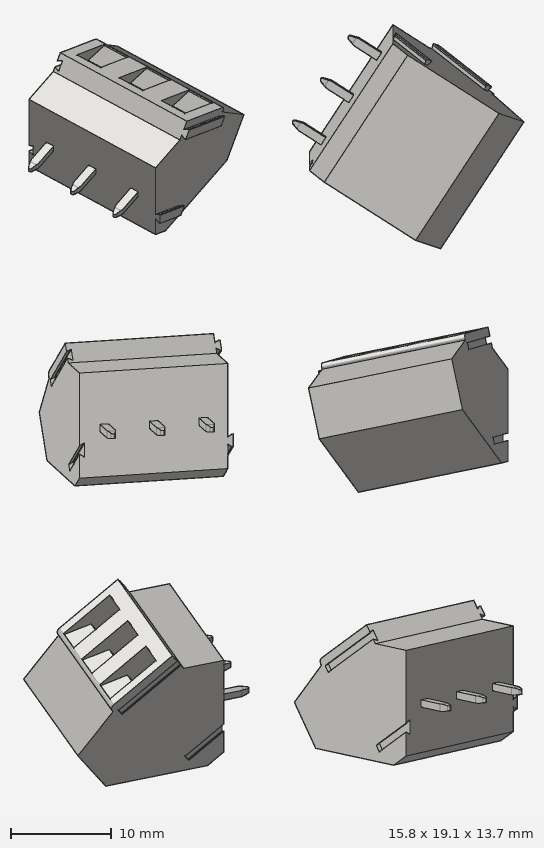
import cadquery as cq
import math


pole_count = 3
pole_pitch = 5.08
housing_width = pole_count * pole_pitch
tilt = math.radians(35)
nose_y = 15.48
nose_z = 4.22
shoulder_z = 11.97
peak_y = 5.48
peak_z = 13.7
base_chamfer_z = 1.22
slope_length = 8.1
slope_lip_height = 0.61
slope_lip_radius = 0.5

pocket_width = 2.83
pocket_start = 1.58
pocket_end = 7.55
pocket_step = 0.15
floor_tilt = math.radians(12)
floor_run_y = 2.83
shaft_depth = 5.35

tongue_height = 0.55
tongue_root_width = 0.61
tongue_tip_width = 1.07
groove_height = 0.52
groove_root_width = 0.69
groove_tip_width = 1.13
tongue_rim = 0.15
groove_rim = 0.08
rail_places = [(7.62, 1.26), (5.82, 11.01)]
rail_length = 11.45

pin_length = 3.6
pin_width = 0.88
pin_height = 0.75
pin_z = 6.22
side_taper_start = 2.63
flat_taper_start = 2.92
point_start = 3.44
point_width = 0.42
pin_tip_height = 0.48
pin_embed = 0.2


def slope_point(downhill, depth):
    """(Y, Z) of a point given by its distance from the peak and below the screw face."""
    y = peak_y + downhill * math.cos(tilt) - depth * math.sin(tilt)
    z = peak_z - downhill * math.sin(tilt) - depth * math.cos(tilt)
    return y, z


def side_profile(points, start_x, width):
    """Prism with a (Y, Z) outline, extruded along X."""
    return cq.Workplane("YZ", origin=(start_x, 0, 0)).polyline(points).close().extrude(width)


def housing(start_x, width):
    shoulder_y = peak_y - (peak_z - shoulder_z) * math.tan(tilt)
    lip_y, lip_z = slope_point(slope_length, 0)
    outline = [
        (0, base_chamfer_z),
        (0, shoulder_z),
        (shoulder_y, shoulder_z),
        (peak_y, peak_z),
        (lip_y, lip_z),
        slope_point(slope_length, slope_lip_height),
        (nose_y, nose_z),
        (nose_y - nose_z * math.tan(tilt), 0),
        (base_chamfer_z / math.tan(tilt), 0),
    ]
    lip_edge = cq.selectors.NearestToPointSelector((start_x + width / 2, lip_y, lip_z))
    return side_profile(outline, start_x, width).edges(lip_edge).fillet(slope_lip_radius)


def pocket(center_x):
    floor_low_y, floor_low_z = slope_point(pocket_end, pocket_step)
    floor_high_y = floor_low_y - floor_run_y
    floor_high_z = floor_low_z + floor_run_y * math.tan(floor_tilt)
    shaft_wall = (floor_high_y - peak_y) * math.cos(tilt) + (peak_z - floor_high_z) * math.sin(tilt)
    outline = [
        slope_point(pocket_start, 0),
        slope_point(pocket_end, 0),
        (floor_low_y, floor_low_z),
        (floor_high_y, floor_high_z),
        slope_point(shaft_wall, shaft_depth),
        slope_point(pocket_start, shaft_depth),
    ]
    return side_profile(outline, center_x - pocket_width / 2, pocket_width)


def rail(start_x, place, height, root_width, tip_width, rim):
    """Dovetail widening toward +X, running uphill from its closed end."""
    y, z = slope_point(*place)
    section = cq.Plane(
        origin=(start_x, y, z),
        xDir=(1, 0, 0),
        normal=(0, -math.cos(tilt), math.sin(tilt)),
    )
    outline = [
        (0, -root_width / 2),
        (height - rim, -tip_width / 2),
        (height, -tip_width / 2),
        (height, tip_width / 2),
        (height - rim, tip_width / 2),
        (0, root_width / 2),
    ]
    return cq.Workplane(section).polyline(outline).close().extrude(rail_length)


def pin(center_x):
    elevation = [
        (pin_embed, -pin_height / 2),
        (-flat_taper_start, -pin_height / 2),
        (-pin_length, -pin_tip_height / 2),
        (-pin_length, pin_tip_height / 2),
        (-flat_taper_start, pin_height / 2),
        (pin_embed, pin_height / 2),
    ]
    plan_prism = (
        cq.Workplane("XY", origin=(0, 0, -pin_height / 2))
        .moveTo(-pin_width / 2, pin_embed)
        .lineTo(-pin_width / 2, -side_taper_start)
        .lineTo(-point_width / 2, -point_start)
        .threePointArc((0, -pin_length), (point_width / 2, -point_start))
        .lineTo(pin_width / 2, -side_taper_start)
        .lineTo(pin_width / 2, pin_embed)
        .close()
        .extrude(pin_height)
    )
    side_prism = side_profile(elevation, -pin_width / 2, pin_width)
    return plan_prism.intersect(side_prism).translate((center_x, 0, pin_z))


result = housing(0, housing_width)

tongue_limit = housing(housing_width, tongue_height)
for place in rail_places:
    tongue = rail(housing_width, place, tongue_height, tongue_root_width, tongue_tip_width, tongue_rim)
    result = result.union(tongue.intersect(tongue_limit))
    result = result.cut(rail(0, place, groove_height, groove_root_width, groove_tip_width, groove_rim))

for pole in range(pole_count):
    pole_x = (pole + 0.5) * pole_pitch
    result = result.cut(pocket(pole_x))
    result = result.union(pin(pole_x))